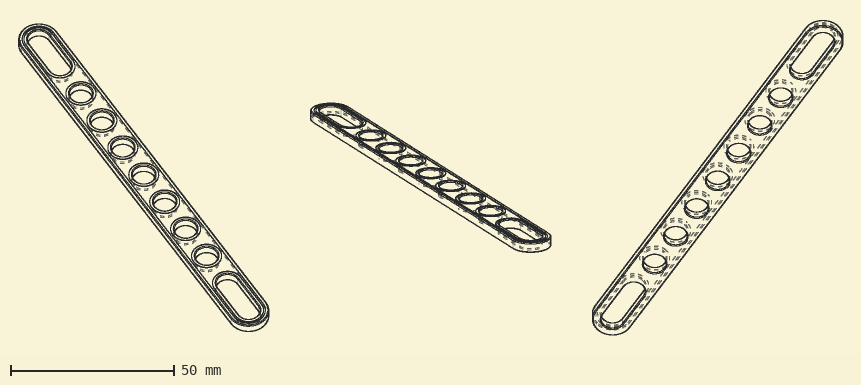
import cadquery as cq

length = 137.5
thickness = 3.2
pitch_count = 11
pitch = length / pitch_count
width = pitch
hole_diameter = 7.0
collar_diameter = 9.2
rim_width = 1.1
recess_depth = 0.2
edge_chamfer = 0.3

hole_steps = range(-3, 4)
slot_center_x = 4.5 * pitch
end_center_spacing = length - width
recess_floor = thickness - recess_depth


def stadium(center_x, straight, diameter, bottom, height):
    """Round-ended bar along X whose end centers are `straight` apart."""
    base = cq.Workplane("XY", origin=(center_x, 0, bottom))
    return base.slot2D(straight + diameter, diameter).extrude(height)


def openings(diameter, bottom, height):
    """Cylinders at the round holes and stadiums at the end slots, all of one width."""
    centers = [(step * pitch, 0) for step in hole_steps]
    base = cq.Workplane("XY", origin=(0, 0, bottom))
    shapes = base.pushPoints(centers).circle(diameter / 2).extrude(height)
    for side in (-1, 1):
        shapes = shapes.union(stadium(side * slot_center_x, pitch, diameter, bottom, height))
    return shapes


strip = stadium(0, end_center_spacing, width, 0, thickness)
strip = strip.cut(openings(hole_diameter, 0, thickness))

strip = strip.faces("|Z").edges().chamfer(edge_chamfer)

recess = stadium(0, end_center_spacing, width - 2 * rim_width, recess_floor, recess_depth)
recess = recess.cut(openings(collar_diameter, recess_floor, recess_depth))

result = strip.cut(recess)